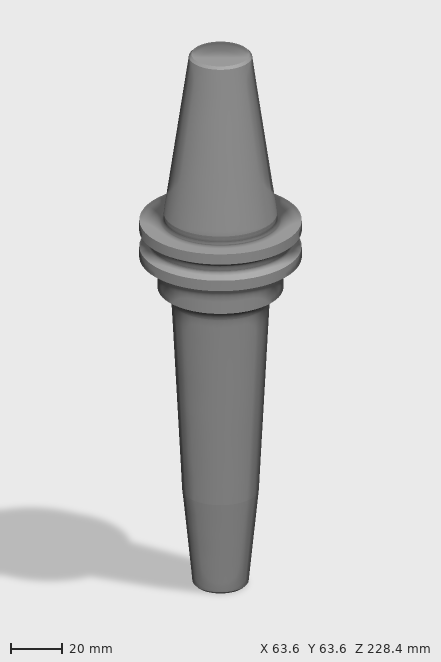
import cadquery as cq
import math

taper_length = 68.4
nose_length = 160.0

gauge_dia = 44.45
taper_ratio = 7 / 24
taper_chamfer = 1.0

flange_dia = 63.55
flange_top = -3.2
flange_bottom = -19.1

groove_center = -11.1
groove_mouth_width = 7.0
groove_floor_dia = 56.25
groove_flank_angle = 30.0
groove_fillet = 0.6

neck_dia = 44.25
neck_top = -1.0
relief_dia = 47.5
relief_bottom = -3.4
relief_fillet = 0.8

collar_dia = 49.25
collar_bottom = -32.3
shoulder_angle = 25.0

nose_top_dia = 38.8
nose_fillet = 4.5
tip_top = -119.5
tip_top_dia = 30.0
tip_dia = 22.0
tip_chamfer = 1.0

taper_end_radius = (gauge_dia - taper_ratio * (taper_length - taper_chamfer)) / 2
flank_depth = (flange_dia - groove_floor_dia) / 2
flank_height = flank_depth * math.tan(math.radians(groove_flank_angle))
shoulder_width = (collar_dia - nose_top_dia) / 2
nose_top = collar_bottom - shoulder_width * math.tan(math.radians(shoulder_angle))
half_mouth = groove_mouth_width / 2
half_floor = half_mouth - flank_height


def taper_outline():
    """(radius, Z) points from the top end down to the taper root undercut."""
    return [
        (0, taper_length),
        (taper_end_radius - taper_chamfer, taper_length),
        (taper_end_radius, taper_length - taper_chamfer),
        (gauge_dia / 2, 0),
        (neck_dia / 2, neck_top),
        (neck_dia / 2, relief_bottom),
        (relief_dia / 2, flange_top),
    ]


def flange_outline():
    """(radius, Z) points down the flange rim and through its groove."""
    return [
        (flange_dia / 2, flange_top),
        (flange_dia / 2, groove_center + half_mouth),
        (groove_floor_dia / 2, groove_center + half_floor),
        (groove_floor_dia / 2, groove_center - half_floor),
        (flange_dia / 2, groove_center - half_mouth),
        (flange_dia / 2, flange_bottom),
    ]


def nose_outline():
    """(radius, Z) points of the collar and the two nose cones."""
    return [
        (collar_dia / 2, flange_bottom),
        (collar_dia / 2, collar_bottom),
        (nose_top_dia / 2, nose_top),
        (tip_top_dia / 2, tip_top),
        (tip_dia / 2, tip_chamfer - nose_length),
        (tip_dia / 2 - tip_chamfer, -nose_length),
        (0, -nose_length),
    ]


def fillet_ring(body, diameter, height, fillet_radius):
    """Round the circular edge of the given diameter lying at the given height."""
    slab = 0.01
    reach = diameter / 2 + slab
    ring = cq.selectors.BoxSelector(
        (-reach, -reach, height - slab),
        (reach, reach, height + slab),
        boundingbox=True,
    )
    return body.edges(ring).fillet(fillet_radius)


outline = taper_outline() + flange_outline() + nose_outline()
result = cq.Workplane("XZ").polyline(outline).close().revolve(360, (0, 0, 0), (0, 1, 0))

for floor_edge in (groove_center + half_floor, groove_center - half_floor):
    result = fillet_ring(result, groove_floor_dia, floor_edge, groove_fillet)
result = fillet_ring(result, neck_dia, relief_bottom, relief_fillet)
result = fillet_ring(result, nose_top_dia, nose_top, nose_fillet)